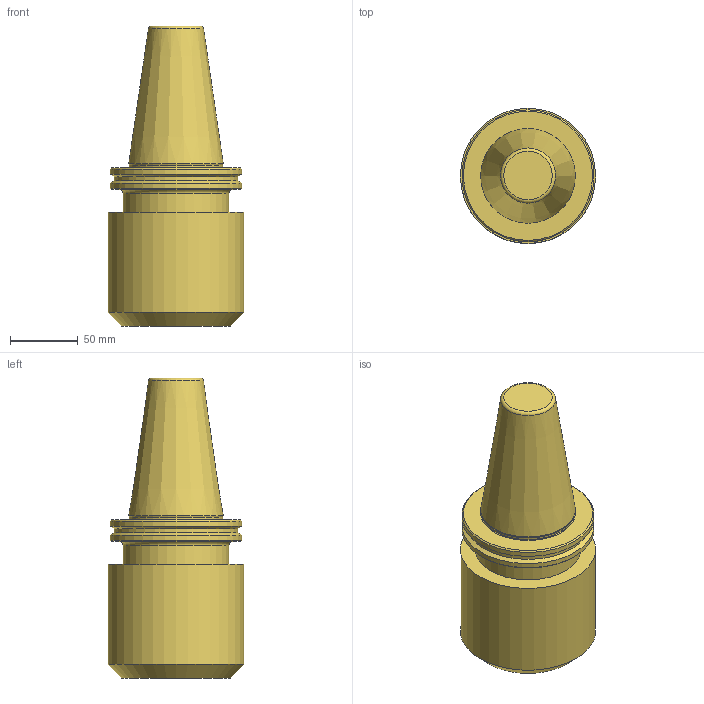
import cadquery as cq
import math


gauge_radius = 69.85 / 2
taper_length = 101.75
taper_ratio = 7 / 24
tip_radius = gauge_radius - taper_length * taper_ratio / 2
tip_round = 2.5

relief_depth = 0.425
relief_radius = gauge_radius - relief_depth
relief_cone_bottom = -1.2
relief_round = 0.5

flange_radius = 97.5 / 2
flange_top = -3.2
flange_bottom = -19.1
flange_chamfer = 1.0
groove_center = -11.1
groove_radius = 91.5 / 2
groove_floor_width = 3.1
groove_flank_angle = 30
groove_flank_height = (flange_radius - groove_radius) * math.tan(math.radians(groove_flank_angle))
groove_mouth_width = groove_floor_width + 2 * groove_flank_height

neck_radius = 39.0
neck_round = 3.0
body_radius = 50.0
body_bottom = -120.0
body_height = 84.0
body_top = body_bottom + body_height
body_chamfer = 10.0

edge_tolerance = 0.01


def make_shank():
    """Taper with a rounded tip and the relief below its gauge plane."""
    shank = (
        cq.Workplane("XZ")
        .moveTo(0, taper_length)
        .lineTo(tip_radius, taper_length)
        .lineTo(gauge_radius, 0)
        .lineTo(relief_radius, relief_cone_bottom)
        .lineTo(relief_radius, flange_top)
        .lineTo(0, flange_top)
        .close()
        .revolve(360, (0, 0, 0), (0, 1, 0))
    )
    return shank.faces(">Z").edges().fillet(tip_round)


def make_flange():
    """Chamfered disc with the gripper groove around its rim."""
    disc = (
        cq.Workplane("XY", origin=(0, 0, flange_bottom))
        .circle(flange_radius)
        .extrude(flange_top - flange_bottom)
        .edges()
        .chamfer(flange_chamfer)
    )
    groove_ring = (
        cq.Workplane("XZ")
        .moveTo(flange_radius, groove_center + groove_mouth_width / 2)
        .lineTo(groove_radius, groove_center + groove_floor_width / 2)
        .lineTo(groove_radius, groove_center - groove_floor_width / 2)
        .lineTo(flange_radius, groove_center - groove_mouth_width / 2)
        .close()
        .revolve(360, (0, 0, 0), (0, 1, 0))
    )
    return disc.cut(groove_ring)


def make_body():
    """Chuck body with a chamfered nose, and the neck that joins it to the flange."""
    body = (
        cq.Workplane("XY", origin=(0, 0, body_bottom))
        .circle(body_radius)
        .extrude(body_height)
        .faces("<Z")
        .edges()
        .chamfer(body_chamfer)
    )
    neck = (
        cq.Workplane("XY", origin=(0, 0, body_top))
        .circle(neck_radius)
        .extrude(flange_bottom - body_top)
    )
    return body.union(neck)


def round_inner_corner(part, radius, height, round_radius):
    """Fillet the circular edge of the given radius lying at the given height."""
    reach = radius + edge_tolerance
    corner = cq.selectors.BoxSelector(
        (-reach, -reach, height - edge_tolerance),
        (reach, reach, height + edge_tolerance),
        boundingbox=True,
    )
    return part.edges(corner).fillet(round_radius)


result = make_shank().union(make_flange()).union(make_body())
result = round_inner_corner(result, relief_radius, flange_top, relief_round)
result = round_inner_corner(result, neck_radius, flange_bottom, neck_round)